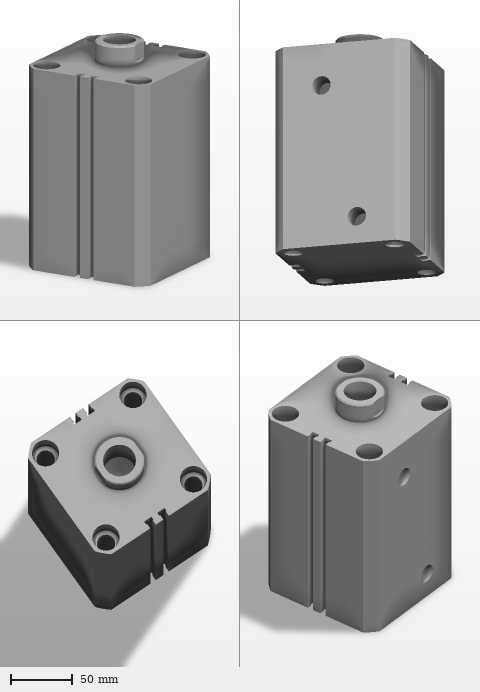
import cadquery as cq
import math

TOTAL_HEIGHT = 187.0
BODY_WIDTH = 114.0
ROD_PROTRUSION = 17.2
BODY_HEIGHT = TOTAL_HEIGHT - ROD_PROTRUSION
HALF_WIDTH = BODY_WIDTH / 2

CORNER_RADIUS = 74.2
CORNER_START = math.sqrt(CORNER_RADIUS**2 - HALF_WIDTH**2)

MOUNT_SPACING = 86.0
MOUNT_DIAMETER = 15.0
MOUNT_BORE_DIAMETER = 22.0
MOUNT_BORE_DEPTH = 18.7

SLOT_SPACING = 12.9
SLOT_NECK_WIDTH = 5.5
SLOT_WIDTH = 7.1
SLOT_DEPTH = 7.5
SLOT_NECK_DEPTH = 4.5

PORT_DIAMETER = 14.5
PORT_MOUTH_DIAMETER = 15.5
PORT_TAPER_DEPTH = 8.0
PORT_DEPTH = 18.7
PORT_OFFSET = 15.0
LOWER_PORT_HEIGHT = 22.5
UPPER_PORT_DROP = 34.8
PORT_POSITIONS = [
    (PORT_OFFSET, BODY_HEIGHT - UPPER_PORT_DROP),
    (-PORT_OFFSET, LOWER_PORT_HEIGHT),
]

ROD_DIAMETER = 40.0
ROD_RADIUS = ROD_DIAMETER / 2
ROD_INSERTION = 56.1
ROD_BOTTOM = BODY_HEIGHT - ROD_INSERTION
ROD_CHAMFER = 1.1
FLATS_WIDTH = 37.0
FLAT_BOTTOM_GAP = 3.4
ROD_HOLE_DIAMETER = 26.5
ROD_HOLE_DEPTH = 37.4
DRILL_POINT_ANGLE = 118.0


def make_housing_block():
    """Square prism whose four corners are cut by one large cylinder."""
    block = cq.Workplane("XY").rect(BODY_WIDTH, BODY_WIDTH).extrude(BODY_HEIGHT)
    corner_cylinder = cq.Workplane("XY").circle(CORNER_RADIUS).extrude(BODY_HEIGHT)
    return block.intersect(corner_cylinder)


def cut_mounting_holes(body):
    """Four counterbored holes through the full height."""
    return (
        body.faces(">Z").workplane(origin=(0, 0, BODY_HEIGHT))
        .rect(MOUNT_SPACING, MOUNT_SPACING, forConstruction=True)
        .vertices()
        .cboreHole(MOUNT_DIAMETER, MOUNT_BORE_DIAMETER, MOUNT_BORE_DEPTH)
    )


def make_slot(x, side):
    """T-slot cutter at x, opening on the +Y face (side = 1) or the -Y face (side = -1)."""
    neck_half = SLOT_NECK_WIDTH / 2
    slot_half = SLOT_WIDTH / 2
    face_y = side * HALF_WIDTH
    shoulder_y = side * (HALF_WIDTH - SLOT_NECK_DEPTH)
    floor_y = side * (HALF_WIDTH - SLOT_DEPTH)
    return (
        cq.Workplane("XY")
        .polyline([
            (x - neck_half, face_y),
            (x - neck_half, shoulder_y),
            (x - slot_half, shoulder_y),
            (x - slot_half, floor_y),
            (x + slot_half, floor_y),
            (x + slot_half, shoulder_y),
            (x + neck_half, shoulder_y),
            (x + neck_half, face_y),
        ])
        .close()
        .extrude(BODY_HEIGHT)
    )


def make_port(y, z):
    """Blind round port cutter with a tapered mouth, entering from the -X face."""
    radius = PORT_DIAMETER / 2
    profile = [
        (0, 0),
        (PORT_MOUTH_DIAMETER / 2, 0),
        (radius, PORT_TAPER_DEPTH),
        (radius, PORT_DEPTH),
        (0, PORT_DEPTH),
    ]
    inward = cq.Plane(origin=(-HALF_WIDTH, y, z), xDir=(0, 1, 0), normal=(0, 0, -1))
    return cq.Workplane(inward).polyline(profile).close().revolve(360, (0, 0), (0, 1))


def make_housing():
    body = cut_mounting_holes(make_housing_block())
    for side in (-1, 1):
        for x in (-SLOT_SPACING / 2, SLOT_SPACING / 2):
            body = body.cut(make_slot(x, side))
    for y, z in PORT_POSITIONS:
        body = body.cut(make_port(y, z))
    rod_seat = (
        cq.Workplane("XY").workplane(offset=ROD_BOTTOM)
        .circle(ROD_RADIUS).extrude(ROD_INSERTION)
    )
    return body.cut(rod_seat)


def make_flat(side):
    """Wrench-flat cutter on the side * X face of the rod, with a 45 degree lower shoulder."""
    flat_x = FLATS_WIDTH / 2
    flat_bottom = BODY_HEIGHT + FLAT_BOTTOM_GAP
    shoulder_size = ROD_RADIUS - flat_x
    return (
        cq.Workplane("XZ")
        .polyline([
            (side * flat_x, TOTAL_HEIGHT),
            (side * flat_x, flat_bottom),
            (side * ROD_RADIUS, flat_bottom - shoulder_size),
            (side * ROD_RADIUS, TOTAL_HEIGHT),
        ])
        .close()
        .extrude(ROD_RADIUS, both=True)
    )


def make_rod_hole():
    """Blind hole from the rod end, finished by a conical drill point."""
    radius = ROD_HOLE_DIAMETER / 2
    straight_end = TOTAL_HEIGHT - ROD_HOLE_DEPTH
    point_depth = radius / math.tan(math.radians(DRILL_POINT_ANGLE / 2))
    return (
        cq.Workplane("XZ")
        .polyline([
            (0, TOTAL_HEIGHT),
            (radius, TOTAL_HEIGHT),
            (radius, straight_end),
            (0, straight_end - point_depth),
        ])
        .close()
        .revolve(360, (0, 0), (0, 1))
    )


def make_rod():
    rod = (
        cq.Workplane("XY").workplane(offset=ROD_BOTTOM)
        .circle(ROD_RADIUS).extrude(TOTAL_HEIGHT - ROD_BOTTOM)
        .faces(">Z").chamfer(ROD_CHAMFER)
    )
    for side in (-1, 1):
        rod = rod.cut(make_flat(side))
    return rod.cut(make_rod_hole())


housing = make_housing()
rod = make_rod()
result = cq.Compound.makeCompound([housing.val(), rod.val()])